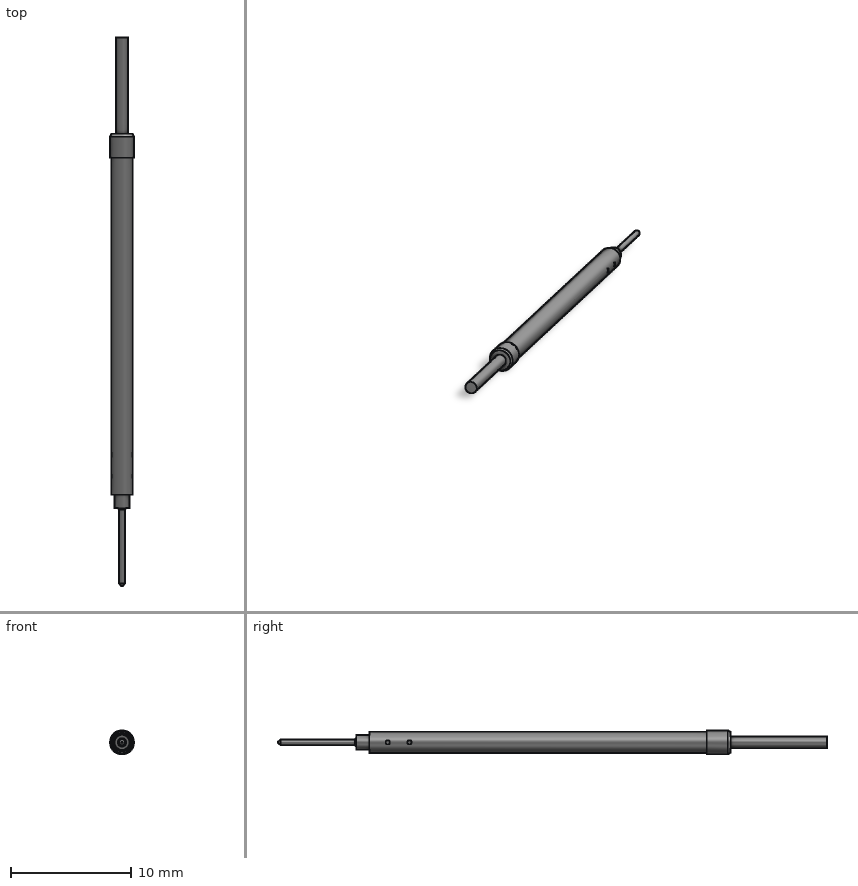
import cadquery as cq

overall_length = 45.6
tail_length = 8.0
collar_length = 2.0
barrel_length = 28.0
nose_length = 1.1

tail_radius = 0.5
collar_radius = 1.0
barrel_radius = 0.9
nose_radius = 0.625
needle_radius = 0.25

collar_lead_length = 0.25
collar_lead_radius = 0.87
needle_root_length = 0.12
needle_root_radius = 0.35
tip_length = 0.25
tip_radius = 0.05

barrel_bore_radius = 0.75
barrel_bore_depth = 0.5

dimple_radius = 0.18
dimple_offsets = (1.52, 3.32)

tail_end = tail_length
collar_front = -collar_length
barrel_front = collar_front - barrel_length
nose_front = barrel_front - nose_length
needle_tip = tail_end - overall_length


def make_pin():
    """Full stepped body, revolved from its half profile of (Y, radius) points."""
    profile = [
        (tail_end, 0),
        (tail_end, tail_radius),
        (0, tail_radius),
        (0, collar_lead_radius),
        (-collar_lead_length, collar_radius),
        (collar_front, collar_radius),
        (collar_front, barrel_radius),
        (barrel_front, barrel_radius),
        (barrel_front, barrel_bore_radius),
        (barrel_front + barrel_bore_depth, barrel_bore_radius),
        (barrel_front + barrel_bore_depth, nose_radius),
        (nose_front, nose_radius),
        (nose_front, needle_root_radius),
        (nose_front - needle_root_length, needle_radius),
        (needle_tip + tip_length, needle_radius),
        (needle_tip, tip_radius),
        (needle_tip, 0),
    ]
    return cq.Workplane("YZ").polyline(profile).close().revolve(360, (0, 0, 0), (1, 0, 0))


def cut_dimples(pin):
    """Spherical dimples centred on the barrel surface at -X and +X."""
    for offset in dimple_offsets:
        for side in (-1, 1):
            centre = (side * barrel_radius, barrel_front + offset, 0)
            pin = pin.cut(cq.Workplane("XY", origin=centre).sphere(dimple_radius))
    return pin


result = cut_dimples(make_pin())